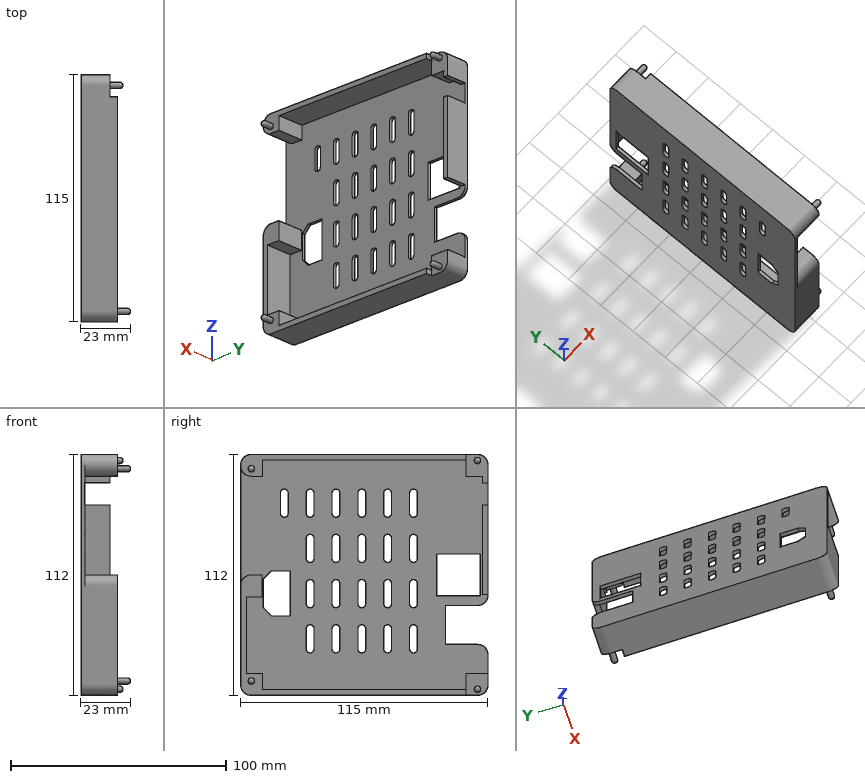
import cadquery as cq

width = 115.0
height = 112.0
depth = 17.0
plate_thickness = 1.7
wall_thickness = 2.7
corner_radius = 5.0

post_size = 10.2
far_depth = 13.5

pin_diameter = 3.0
pin_length = 6.0
pin_y_inset = 5.0
near_pin_z_inset = 6.7
far_pin_z_inset = 2.9

near_wall_top = 56.0
end_post_width = 10.0

far_wall_bottom = 47.0
far_gap_bottom = 88.5
far_gap_top = 98.7

notch_bottom = 23.8
notch_top = 41.7
notch_depth = 19.8

window_y = (91.2, 111.2)
window_z = (46.4, 65.6)

connector_y = (10.6, 23.0)
connector_z = (37.0, 57.8)
connector_chamfer = 3.7

slot_width = 3.5
slot_length = 13.0
slot_pitch_y = 12.0
slot_pitch_z = 21.0
first_slot_z = 26.3
last_slot_y = 80.3
slots_per_row = (5, 5, 5, 6)

selection_margin = 1.0


def block(x_range, y_range, z_range):
    """Axis-aligned box between the given limits."""
    (x0, x1), (y0, y1), (z0, z1) = x_range, y_range, z_range
    return cq.Workplane("XY").box(x1 - x0, y1 - y0, z1 - z0, centered=False).translate((x0, y0, z0))


def corner_edge(y, z):
    """Selector for the X-direction edge that passes through (y, z)."""
    near_corner = (0, y - selection_margin, z - selection_margin)
    far_corner = (depth, y + selection_margin, z + selection_margin)
    return cq.selectors.BoxSelector(near_corner, far_corner)


def round_edges(body, *selectors):
    """Round the X-direction edges picked out by each selector."""
    for selector in selectors:
        body = body.edges("|X").edges(selector).fillet(corner_radius)
    return body


def make_plate():
    """Rounded face plate with the open notch in its +Y edge."""
    plate = block((0, plate_thickness), (0, width), (0, height)).edges("|X").fillet(corner_radius)
    notch = block((0, plate_thickness), (width - notch_depth, width), (notch_bottom, notch_top))
    plate = plate.cut(notch)
    return round_edges(plate, corner_edge(width, notch_bottom), corner_edge(width, notch_top))


def make_rim():
    """Walls that stand on the plate, with the end post of the near wall."""
    far_post_start = width - post_size
    rim = cq.Workplane("XY")

    for z_range in ((0, wall_thickness), (height - wall_thickness, height)):
        rim = rim.add(block((0, depth), (post_size / 2, far_post_start), z_range))

    near_wall = block((0, depth), (0, wall_thickness), (corner_radius, near_wall_top - corner_radius))
    rim = rim.add(near_wall)
    end_post = block((0, depth), (0, end_post_width), (near_wall_top - post_size, near_wall_top))
    rim = rim.add(round_edges(end_post, corner_edge(0, near_wall_top)))

    far_wall_y = (width - wall_thickness, width)
    rim = rim.add(block((0, far_depth), far_wall_y, (far_wall_bottom, far_gap_bottom)))
    rim = rim.add(block((0, far_depth), far_wall_y, (far_gap_top, height - corner_radius)))
    return rim.combine()


def make_posts():
    """Corner posts, rounded to follow the plate corners."""
    near_y = (0, post_size)
    far_y = (width - post_size, width)
    low_z = (0, post_size)
    high_z = (height - post_size, height)

    near_low = round_edges(block((0, depth), near_y, low_z), corner_edge(0, 0))
    near_high = round_edges(
        block((0, depth), near_y, high_z), corner_edge(0, height), corner_edge(0, high_z[0])
    )
    far_low = round_edges(block((0, far_depth), far_y, low_z), corner_edge(width, 0))
    far_high = round_edges(block((0, far_depth), far_y, high_z), corner_edge(width, height))
    return near_low.union(near_high).union(far_low).union(far_high)


def make_pin(x, y, z):
    """Pin that points along +X from a post face, with a hemispherical tip."""
    radius = pin_diameter / 2
    shank_length = pin_length - radius
    shank = cq.Workplane("YZ").circle(radius).extrude(shank_length)
    tip = cq.Workplane("XY").sphere(radius).translate((shank_length, 0, 0))
    return shank.union(tip).translate((x, y, z))


def make_pins():
    """Pins on the four corner posts."""
    pins = cq.Workplane("XY")
    for z in (near_pin_z_inset, height - near_pin_z_inset):
        pins = pins.add(make_pin(depth, pin_y_inset, z))
    for z in (far_pin_z_inset, height - far_pin_z_inset):
        pins = pins.add(make_pin(far_depth, width - pin_y_inset, z))
    return pins.combine()


def make_vents():
    """Cutter for the upright vent slots; the top row has one slot more toward -Y."""
    slot_angle = 90
    centers = [
        (last_slot_y - column * slot_pitch_y, first_slot_z + row * slot_pitch_z)
        for row, count in enumerate(slots_per_row)
        for column in range(count)
    ]
    slots = cq.Workplane("YZ").pushPoints(centers).slot2D(slot_length, slot_width, slot_angle)
    return slots.extrude(plate_thickness)


def make_windows():
    """Cutter for the two windows in the plate."""
    through_plate = (0, plate_thickness)
    square = block(through_plate, window_y, window_z)
    connector = block(through_plate, connector_y, connector_z)
    connector = connector.faces("<Y").edges("|X").chamfer(connector_chamfer)
    return square.union(connector)


cover = make_plate().union(make_rim()).union(make_posts()).union(make_pins())
result = cover.cut(make_vents()).cut(make_windows())